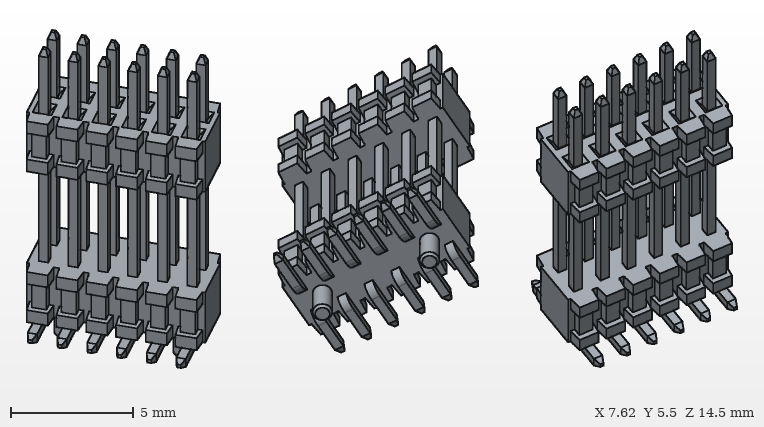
import cadquery as cq
import math


PITCH = 1.27
COLUMNS = 6
ROW_OFFSET = PITCH / 2
COLUMN_XS = [(i - (COLUMNS - 1) / 2) * PITCH for i in range(COLUMNS)]
SIDES = (-1, 1)

BODY_LENGTH = COLUMNS * PITCH
BODY_WIDTH = 2.2
BODY_HEIGHT = 2.5
BODY_GAP = 5.0
UPPER_BODY_Z = BODY_HEIGHT + BODY_GAP

FLANGE_SPAN = 3.46
FLANGE_ROOT = 1.04
FLANGE_END = 0.9
FLANGE_HEIGHT = 0.6
NECK_SPAN = 2.96
NECK_WIDTH = 0.635

FUNNEL_WIDTH = 0.8
FUNNEL_DEPTH = 0.2

PIN_SIZE = 0.4
POST_PROJECTION = 3.0
PIN_TOP = UPPER_BODY_Z + BODY_HEIGHT + POST_PROJECTION
TIP_LENGTH = 0.3
TIP_SIZE = 0.16
FOOT_REACH = 2.75
BEND_INNER_RADIUS = 0.22
BEND_OUTER_RADIUS = BEND_INNER_RADIUS + PIN_SIZE

PEG_DIAMETER = 0.8
PEG_LENGTH = 1.53
PEG_X = 2 * PITCH
PEG_CHAMFER_RADIAL = 0.1
PEG_CHAMFER_LENGTH = 0.13


def box(length, width, height, z):
    """Box centred on the Z axis and standing on height z."""
    return cq.Workplane("XY").box(length, width, height, centered=(True, True, False)).translate((0, 0, z))


def flange(z):
    """Flange crossing the body, widest where it leaves the body faces."""
    half_body = BODY_WIDTH / 2
    half_span = FLANGE_SPAN / 2
    half_root = FLANGE_ROOT / 2
    half_end = FLANGE_END / 2
    outline = [
        (half_end, half_span),
        (half_root, half_body),
        (half_root, -half_body),
        (half_end, -half_span),
        (-half_end, -half_span),
        (-half_root, -half_body),
        (-half_root, half_body),
        (-half_end, half_span),
    ]
    return cq.Workplane("XY", origin=(0, 0, z)).polyline(outline).close().extrude(FLANGE_HEIGHT)


def insulator():
    """Insulator body with a flanged column at every pin pair."""
    body = box(BODY_LENGTH, BODY_WIDTH, BODY_HEIGHT, 0)
    column = box(NECK_WIDTH, NECK_SPAN, BODY_HEIGHT, 0)
    column = column.union(flange(0)).union(flange(BODY_HEIGHT - FLANGE_HEIGHT))
    for x in COLUMN_XS:
        body = body.union(column.translate((x, 0, 0)))
    return body


def square_frustum(plane, base_size, end_size, length):
    """Square frustum growing along the normal of the plane."""
    return (
        cq.Workplane(plane)
        .rect(base_size, base_size)
        .workplane(offset=length)
        .rect(end_size, end_size)
        .loft(ruled=True)
    )


def cut_funnels(body):
    """Sink a funnel into the top of the body around every pin."""
    funnel = square_frustum("XY", PIN_SIZE, FUNNEL_WIDTH, FUNNEL_DEPTH)
    for x in COLUMN_XS:
        for side in SIDES:
            body = body.cut(funnel.translate((x, side * ROW_OFFSET, BODY_HEIGHT - FUNNEL_DEPTH)))
    return body


def pin():
    """Pin of the +Y row at X = 0: straight post, bend and foot, with tapered ends."""
    half = PIN_SIZE / 2
    inner_y = ROW_OFFSET - half
    outer_y = ROW_OFFSET + half
    bend_y = outer_y + BEND_INNER_RADIUS
    bend_z = BEND_INNER_RADIUS
    post_end = PIN_TOP - TIP_LENGTH
    foot_end = FOOT_REACH - TIP_LENGTH
    diagonal = math.sqrt(0.5)
    inner_mid = (bend_y - BEND_INNER_RADIUS * diagonal, bend_z - BEND_INNER_RADIUS * diagonal)
    outer_mid = (bend_y - BEND_OUTER_RADIUS * diagonal, bend_z - BEND_OUTER_RADIUS * diagonal)
    shaft = (
        cq.Workplane("YZ", origin=(-half, 0, 0))
        .moveTo(inner_y, post_end)
        .lineTo(outer_y, post_end)
        .lineTo(outer_y, bend_z)
        .threePointArc(inner_mid, (bend_y, 0))
        .lineTo(foot_end, 0)
        .lineTo(foot_end, -PIN_SIZE)
        .lineTo(bend_y, -PIN_SIZE)
        .threePointArc(outer_mid, (inner_y, bend_z))
        .close()
        .extrude(PIN_SIZE)
    )
    post_tip = square_frustum("XY", PIN_SIZE, TIP_SIZE, TIP_LENGTH).translate((0, ROW_OFFSET, post_end))
    foot_tip = square_frustum("ZX", PIN_SIZE, TIP_SIZE, TIP_LENGTH).translate((0, foot_end, -half))
    return shaft.union(post_tip).union(foot_tip)


def peg():
    """Round locating peg hanging from Z = 0, chamfered at its free end."""
    return (
        cq.Workplane("XY")
        .circle(PEG_DIAMETER / 2)
        .extrude(-PEG_LENGTH)
        .faces("<Z")
        .chamfer(PEG_CHAMFER_LENGTH, PEG_CHAMFER_RADIAL)
    )


result = insulator().union(cut_funnels(insulator()).translate((0, 0, UPPER_BODY_Z)))

back_pin = pin()
front_pin = back_pin.mirror("XZ")
for column_x in COLUMN_XS:
    result = result.union(back_pin.translate((column_x, 0, 0)))
    result = result.union(front_pin.translate((column_x, 0, 0)))

for side in SIDES:
    result = result.union(peg().translate((side * PEG_X, 0, 0)))